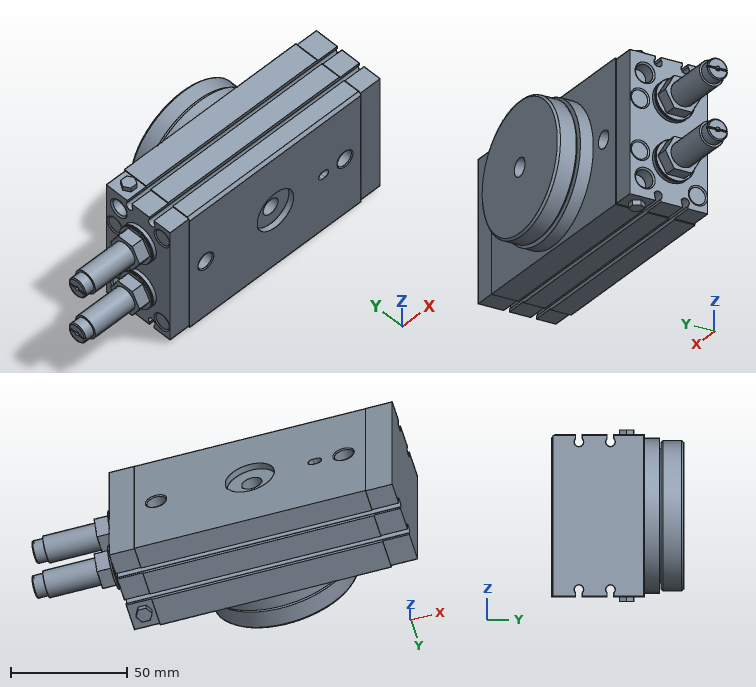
import cadquery as cq
import math


MIDDLE_LENGTH = 103.6
HOUSING_HEIGHT = 70.0
HOUSING_DEPTH = 40.0
HOUSING_EDGE_CHAMFER = 1.5
END_INSET = 0.5
NEAR_END_LENGTH = 11.5
FAR_END_LENGTH = 11.9

END_HEIGHT = HOUSING_HEIGHT - 2 * END_INSET
BLOCK_LENGTH = NEAR_END_LENGTH + MIDDLE_LENGTH + FAR_END_LENGTH
NEAR_FACE_X = -MIDDLE_LENGTH / 2 - NEAR_END_LENGTH
FAR_FACE_X = NEAR_FACE_X + BLOCK_LENGTH

SLOT_YS = (11.8, 25.3)
SLOT_NECK_WIDTH = 2.8
SLOT_BULB_DIAMETER = 4.0
SLOT_BULB_Z = 31.8

COLLAR_DIAMETER = 66.9
COLLAR_HEIGHT = 6.5
TABLE_DIAMETER = 64.9
TABLE_THICKNESS = 10.0
TABLE_CHAMFER = 1.0
TABLE_GAP = 0.5
TABLE_BOSS_DIAMETER = 58.0
BORE_DIAMETER = 9.0

COLLAR_FACE_Y = HOUSING_DEPTH + COLLAR_HEIGHT

PILOT_DIAMETER = 22.0
PILOT_DEPTH = 3.0
MOUNT_HOLE_X = 42.0
MOUNT_HOLE_DIAMETER = 8.6
MOUNT_HOLE_CHAMFER = 0.5
LOCATING_SLOT_X = 29.1
LOCATING_SLOT_LENGTH = 6.0
LOCATING_SLOT_WIDTH = 4.3
LOCATING_SLOT_DEPTH = 3.3

PORT_Y = 32.0
PORT_Z = 25.2
PORT_DIAMETER = 8.6
PORT_MOUTH_DIAMETER = 10.1
PORT_DEPTH = 6.6
SCREW_POSITIONS = ((5.5, 27.0), (34.5, 12.4))
SCREW_RECESS_DIAMETER = 9.6
SCREW_RECESS_FLOOR_DIAMETER = 8.1
SCREW_RECESS_DEPTH = 0.5

PLUG_X = -56.8
PLUG_Y = 32.3
PLUG_ACROSS_FLATS = 6.3
PLUG_HEIGHT = 2.5

ABSORBER_Y = 18.5
ABSORBER_Z = 14.5
FLANGE_DIAMETER = 19.4
FLANGE_THICKNESS = 3.1
FLANGE_GROOVE_DIAMETER = 18.7
FLANGE_GROOVE_WIDTH = 0.5
FLANGE_GROOVE_START = 0.8
NUT_ACROSS_FLATS = 15.4
NUT_THICKNESS = 6.3

FLANGE_X = NEAR_FACE_X - FLANGE_THICKNESS
NUT_X = FLANGE_X - NUT_THICKNESS

BARREL_DIAMETER = 12.0
BARREL_EXPOSED_LENGTH = 23.8
TIP_DIAMETER = 10.1
TIP_LENGTH = 5.3
TIP_CHAMFER = 0.5
DRIVER_SLOT_WIDTH = 0.8
DRIVER_SLOT_DEPTH = 1.0
TIP_HOLE_DIAMETER = 1.0
TIP_HOLE_MOUTH_DIAMETER = 2.2

BARREL_X = NUT_X - BARREL_EXPOSED_LENGTH
TIP_X = BARREL_X - TIP_LENGTH


def box_between(x_start, x_end, y_start, y_end, z_start, z_end):
    size = (x_end - x_start, y_end - y_start, z_end - z_start)
    return cq.Workplane().box(*size, centered=False).translate((x_start, y_start, z_start))


def cylinder_along_x(diameter, x_start, length, y, z):
    return cq.Workplane("YZ", origin=(x_start, y, z)).circle(diameter / 2).extrude(length)


def cylinder_along_y(diameter, y_start, length, x=0, z=0):
    return cq.Workplane("XZ", origin=(x, y_start, z)).circle(diameter / 2).extrude(-length)


def cone_along_x(start_diameter, end_diameter, x_start, length, y, z):
    cone = cq.Solid.makeCone(
        start_diameter / 2, end_diameter / 2, length, cq.Vector(x_start, y, z), cq.Vector(1, 0, 0)
    )
    return cq.Workplane(cone)


def across_corners(across_flats):
    return across_flats / math.cos(math.pi / 6)


def cut_sensor_slots(block):
    for y in SLOT_YS:
        for side in (1, -1):
            bulb = cylinder_along_x(SLOT_BULB_DIAMETER, NEAR_FACE_X, BLOCK_LENGTH, y, side * SLOT_BULB_Z)
            z_low, z_high = sorted((side * SLOT_BULB_Z, side * HOUSING_HEIGHT / 2))
            neck = box_between(
                NEAR_FACE_X, FAR_FACE_X,
                y - SLOT_NECK_WIDTH / 2, y + SLOT_NECK_WIDTH / 2,
                z_low, z_high,
            )
            block = block.cut(bulb).cut(neck)
    return block


def make_housing_block():
    half_length = MIDDLE_LENGTH / 2
    half_height = HOUSING_HEIGHT / 2
    half_end_height = END_HEIGHT / 2
    envelope = box_between(-half_length, half_length, 0, HOUSING_DEPTH, -half_height, half_height)
    middle = envelope.edges("<Y and >Z").chamfer(HOUSING_EDGE_CHAMFER)
    core = box_between(
        NEAR_FACE_X, FAR_FACE_X,
        END_INSET, HOUSING_DEPTH - END_INSET,
        -half_end_height, half_end_height,
    )
    ends = core.cut(envelope)
    return cut_sensor_slots(middle.union(ends))


def cut_mounting_features(housing):
    housing = housing.cut(cylinder_along_y(BORE_DIAMETER, 0, COLLAR_FACE_Y))
    housing = housing.cut(cylinder_along_y(PILOT_DIAMETER, 0, PILOT_DEPTH))

    mouth_diameter = MOUNT_HOLE_DIAMETER + 2 * MOUNT_HOLE_CHAMFER
    for x in (-MOUNT_HOLE_X, MOUNT_HOLE_X):
        mouth = cq.Solid.makeCone(
            mouth_diameter / 2, MOUNT_HOLE_DIAMETER / 2, MOUNT_HOLE_CHAMFER,
            cq.Vector(x, 0, 0), cq.Vector(0, 1, 0),
        )
        housing = housing.cut(cylinder_along_y(MOUNT_HOLE_DIAMETER, 0, HOUSING_DEPTH, x))
        housing = housing.cut(cq.Workplane(mouth))

    locating_slot = (
        cq.Workplane("XZ", origin=(LOCATING_SLOT_X, 0, 0))
        .slot2D(LOCATING_SLOT_LENGTH, LOCATING_SLOT_WIDTH)
        .extrude(-LOCATING_SLOT_DEPTH)
    )
    return housing.cut(locating_slot)


def cut_near_end_features(housing):
    port_chamfer = (PORT_MOUTH_DIAMETER - PORT_DIAMETER) / 2
    for side in (1, -1):
        z = side * PORT_Z
        port = cylinder_along_x(PORT_DIAMETER, NEAR_FACE_X, PORT_DEPTH, PORT_Y, z)
        mouth = cone_along_x(PORT_MOUTH_DIAMETER, PORT_DIAMETER, NEAR_FACE_X, port_chamfer, PORT_Y, z)
        housing = housing.cut(port).cut(mouth)
        for y, screw_z in SCREW_POSITIONS:
            recess = cone_along_x(
                SCREW_RECESS_DIAMETER, SCREW_RECESS_FLOOR_DIAMETER,
                NEAR_FACE_X, SCREW_RECESS_DEPTH, y, side * screw_z,
            )
            housing = housing.cut(recess)
    return housing


def make_housing():
    collar = cylinder_along_y(COLLAR_DIAMETER, HOUSING_DEPTH, COLLAR_HEIGHT)
    housing = make_housing_block().union(collar)
    return cut_near_end_features(cut_mounting_features(housing))


def make_table():
    disc = cylinder_along_y(TABLE_DIAMETER, COLLAR_FACE_Y + TABLE_GAP, TABLE_THICKNESS)
    disc = disc.faces("<Y or >Y").chamfer(TABLE_CHAMFER)
    boss = cylinder_along_y(TABLE_BOSS_DIAMETER, COLLAR_FACE_Y, TABLE_GAP)
    bore = cylinder_along_y(BORE_DIAMETER, COLLAR_FACE_Y, TABLE_GAP + TABLE_THICKNESS)
    return disc.union(boss).cut(bore)


def make_plug(side):
    return (
        cq.Workplane("XY", origin=(PLUG_X, PLUG_Y, side * END_HEIGHT / 2))
        .polygon(6, across_corners(PLUG_ACROSS_FLATS))
        .extrude(side * PLUG_HEIGHT)
    )


def absorber_cylinder(diameter, x_start, length, z):
    return cylinder_along_x(diameter, x_start, length, ABSORBER_Y, z)


def make_lock_nut(z):
    flange = absorber_cylinder(FLANGE_DIAMETER, FLANGE_X, FLANGE_THICKNESS, z)
    groove_x = FLANGE_X + FLANGE_GROOVE_START
    groove = absorber_cylinder(FLANGE_DIAMETER, groove_x, FLANGE_GROOVE_WIDTH, z).cut(
        absorber_cylinder(FLANGE_GROOVE_DIAMETER, groove_x, FLANGE_GROOVE_WIDTH, z)
    )
    hexagon = (
        cq.Workplane("YZ", origin=(NUT_X, ABSORBER_Y, z))
        .polygon(6, across_corners(NUT_ACROSS_FLATS))
        .extrude(NUT_THICKNESS)
    )
    bore = absorber_cylinder(BARREL_DIAMETER, NUT_X, NUT_THICKNESS + FLANGE_THICKNESS, z)
    return hexagon.union(flange.cut(groove)).cut(bore)


def make_absorber(z):
    barrel = absorber_cylinder(BARREL_DIAMETER, BARREL_X, NEAR_FACE_X - BARREL_X, z)
    tip = absorber_cylinder(TIP_DIAMETER, TIP_X, TIP_LENGTH, z).faces("<X").chamfer(TIP_CHAMFER)

    driver_slot = box_between(
        TIP_X, TIP_X + DRIVER_SLOT_DEPTH,
        ABSORBER_Y - TIP_DIAMETER / 2, ABSORBER_Y + TIP_DIAMETER / 2,
        z - DRIVER_SLOT_WIDTH / 2, z + DRIVER_SLOT_WIDTH / 2,
    )
    tip_hole = absorber_cylinder(TIP_HOLE_DIAMETER, TIP_X, TIP_LENGTH, z)
    mouth = cone_along_x(
        TIP_HOLE_MOUTH_DIAMETER, TIP_HOLE_DIAMETER, TIP_X, DRIVER_SLOT_DEPTH, ABSORBER_Y, z
    )
    return barrel.union(tip.cut(driver_slot).cut(tip_hole).cut(mouth))


housing = make_housing()
table = make_table()
plugs = [make_plug(side).val() for side in (1, -1)]
lock_nuts = [make_lock_nut(side * ABSORBER_Z).val() for side in (1, -1)]
absorbers = [make_absorber(side * ABSORBER_Z).val() for side in (1, -1)]

result = cq.Compound.makeCompound([housing.val(), table.val(), *plugs, *lock_nuts, *absorbers])